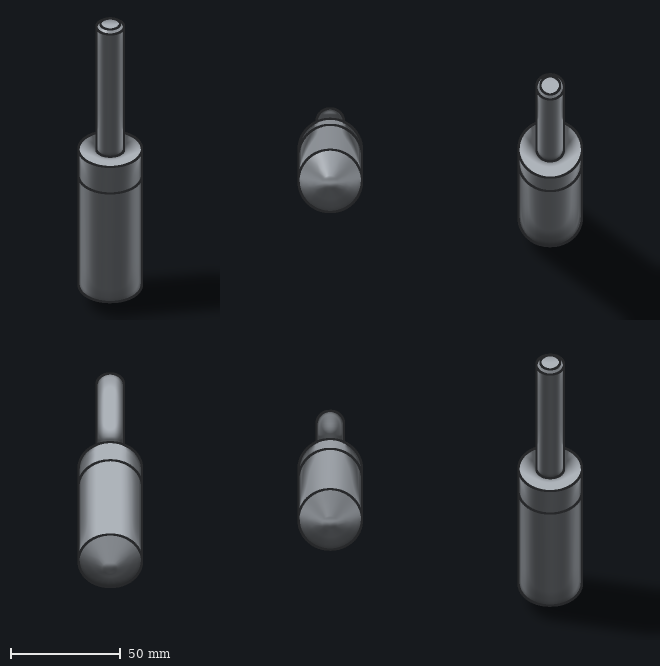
import cadquery as cq

total_length = 152.4
body_diameter = 29.0
shank_diameter = 12.6
tip_height = 8.7
barrel_length = 60.0
collar_length = 14.6
shank_chamfer_height = 1.5
shank_chamfer_width = 1.8

body_radius = body_diameter / 2
shank_radius = shank_diameter / 2
joint_z = tip_height + barrel_length
collar_top_z = joint_z + collar_length
chamfer_start_z = total_length - shank_chamfer_height
shank_end_radius = shank_radius - shank_chamfer_width


def revolve_profile(points):
    """Turn a closed (radius, Z) outline about the Z axis."""
    return cq.Workplane("XZ").polyline(points).close().revolve(360, (0, 0, 0), (0, 1, 0))


def make_pointed_barrel():
    """Lower body: a cylinder ending in a conical point."""
    return revolve_profile([
        (0, 0),
        (body_radius, tip_height),
        (body_radius, joint_z),
        (0, joint_z),
    ])


def make_collared_shank():
    """Upper body: a collar that sits on the barrel, with a chamfered shank."""
    return revolve_profile([
        (0, joint_z),
        (body_radius, joint_z),
        (body_radius, collar_top_z),
        (shank_radius, collar_top_z),
        (shank_radius, chamfer_start_z),
        (shank_end_radius, total_length),
        (0, total_length),
    ])


pointed_barrel = make_pointed_barrel()
collared_shank = make_collared_shank()

result = cq.Compound.makeCompound([pointed_barrel.val(), collared_shank.val()])